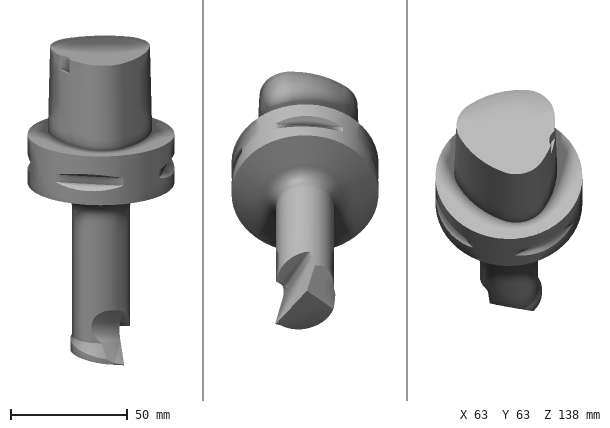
import cadquery as cq
import math

TOTAL_HEIGHT = 138.0
TAPER_HEIGHT = 38.0
FLANGE_HEIGHT = 22.0
FLANGE_TOP = TOTAL_HEIGHT - TAPER_HEIGHT
FLANGE_BOTTOM = FLANGE_TOP - FLANGE_HEIGHT

FLANGE_RADIUS = 63.0 / 2
BAR_RADIUS = 25.0 / 2
NECK_FILLET = 7.0
NECK_CONE_ANGLE = math.radians(15)

LOBE_MEAN_RADIUS = 22.0
LOBE_ECCENTRICITY = 1.7
TAPER_SLOPE = 1 / 40
LOBE_COUNT = 3
LOBE_PITCH = 360 / LOBE_COUNT
LOBE_HALF_ANGLE = 29.5
FIRST_LOBE_ANGLE = 90.0

NOTCH_RADIUS = 6.0
NOTCH_FLOOR_Y = -17.9
NOTCH_HEIGHT = 6.4

GROOVE_COUNT = 4
GROOVE_FLOOR = 27.85
GROOVE_FLOOR_WIDTH = 3.4
GROOVE_MID_Z = 88.0
GROOVE_FLANK_ANGLE = math.radians(30)
GROOVE_DEPTH = FLANGE_RADIUS - GROOVE_FLOOR
GROOVE_OPENING_WIDTH = GROOVE_FLOOR_WIDTH + 2 * GROOVE_DEPTH * math.tan(GROOVE_FLANK_ANGLE)

HEAD_RADIUS = 14.5
HEAD_CENTRE = (1.4, 0.65)
HEAD_TOP = 9.7
HEAD_FLARE_SLOPE = 0.46

RELIEF_TOP = (-BAR_RADIUS, 14.0)
RELIEF_BOTTOM = (-4.6, 1.5)

END_HEIGHT = 1.5
END_SLOPE_X = -0.078
END_SLOPE_Y = -0.104

TIP = (17.2, 0.2, -0.04)
RAKE_SLOPE_X = -0.162
RAKE_SLOPE_Z = 0.11
RAKE_PLANE = cq.Plane(
    origin=TIP,
    xDir=(1, RAKE_SLOPE_X, 0),
    normal=(RAKE_SLOPE_X, -1, RAKE_SLOPE_Z),
)

POCKET_CEILING_LEFT = (-30.0, 21.9)
POCKET_CEILING_END = (-10.2, 14.8)
POCKET_GULLET_END = (-5.5, 23.0)
POCKET_FILLET = 1.8
GULLET_START = (-5.9, 9.4)
GULLET_MIDDLE = (-8.0, 16.3)
GULLET_END = (-4.0, 24.1)
FLANK_SETBACK = 0.7

INSERT_INSCRIBED_DIAMETER = 9.525
INSERT_NOSE_ANGLE = 55.0
INSERT_EDGE = INSERT_INSCRIBED_DIAMETER / math.sin(math.radians(INSERT_NOSE_ANGLE))
INSERT_THICKNESS = 3.97
INSERT_RELIEF = 7.0
INSERT_NOSE_RADIUS = 0.4
INSERT_END_ANGLE = 177.0

CLEAR = 40.0


def lobed_point(mean_radius, angle):
    """Point of the three-lobed outline, with the first lobe toward +Y."""
    t = math.radians(angle - FIRST_LOBE_ANGLE)
    along = mean_radius * math.cos(t) + LOBE_ECCENTRICITY * math.cos(2 * t)
    across = mean_radius * math.sin(t) - LOBE_ECCENTRICITY * math.sin(2 * t)
    return (-across, along)


def lobed_outline(workplane, mean_radius):
    """Closed outline of three lobe arcs joined by three side arcs."""
    outline = workplane.moveTo(*lobed_point(mean_radius, FIRST_LOBE_ANGLE - LOBE_HALF_ANGLE))
    for i in range(LOBE_COUNT):
        lobe = FIRST_LOBE_ANGLE + i * LOBE_PITCH
        outline = outline.threePointArc(
            lobed_point(mean_radius, lobe),
            lobed_point(mean_radius, lobe + LOBE_HALF_ANGLE),
        )
        outline = outline.threePointArc(
            lobed_point(mean_radius, lobe + LOBE_PITCH / 2),
            lobed_point(mean_radius, lobe + LOBE_PITCH - LOBE_HALF_ANGLE),
        )
    return outline.close()


def make_taper():
    base = lobed_outline(cq.Workplane("XY").workplane(offset=FLANGE_TOP), LOBE_MEAN_RADIUS)
    top_radius = LOBE_MEAN_RADIUS - TAPER_HEIGHT * TAPER_SLOPE
    taper = lobed_outline(base.workplane(offset=TAPER_HEIGHT), top_radius).loft(ruled=True)
    notch = (
        cq.Workplane("XY")
        .workplane(offset=TOTAL_HEIGHT - NOTCH_HEIGHT)
        .center(0, NOTCH_FLOOR_Y - NOTCH_RADIUS)
        .circle(NOTCH_RADIUS)
        .extrude(NOTCH_HEIGHT)
    )
    return taper.cut(notch)


def make_flange_and_bar():
    """Flange, shallow cone, neck fillet and bar as one revolved profile."""
    fillet_centre_r = BAR_RADIUS + NECK_FILLET
    cone_end_r = fillet_centre_r - NECK_FILLET * math.sin(NECK_CONE_ANGLE)
    cone_end_z = FLANGE_BOTTOM - (FLANGE_RADIUS - cone_end_r) * math.tan(NECK_CONE_ANGLE)
    fillet_centre_z = cone_end_z - NECK_FILLET * math.cos(NECK_CONE_ANGLE)
    mid_angle = (math.pi / 2 - NECK_CONE_ANGLE) / 2
    fillet_middle = (
        fillet_centre_r - NECK_FILLET * math.cos(mid_angle),
        fillet_centre_z + NECK_FILLET * math.sin(mid_angle),
    )
    return (
        cq.Workplane("XZ")
        .lineTo(BAR_RADIUS, 0)
        .lineTo(BAR_RADIUS, fillet_centre_z)
        .threePointArc(fillet_middle, (cone_end_r, cone_end_z))
        .lineTo(FLANGE_RADIUS, FLANGE_BOTTOM)
        .lineTo(FLANGE_RADIUS, FLANGE_TOP)
        .lineTo(0, FLANGE_TOP)
        .close()
        .revolve(360, (0, 0), (0, 1))
    )


def make_groove(angle):
    """Straight trapezoidal groove, facing outward at the given angle."""
    return (
        cq.Workplane("XZ")
        .moveTo(GROOVE_FLOOR, GROOVE_MID_Z - GROOVE_FLOOR_WIDTH / 2)
        .lineTo(FLANGE_RADIUS, GROOVE_MID_Z - GROOVE_OPENING_WIDTH / 2)
        .lineTo(FLANGE_RADIUS, GROOVE_MID_Z + GROOVE_OPENING_WIDTH / 2)
        .lineTo(GROOVE_FLOOR, GROOVE_MID_Z + GROOVE_FLOOR_WIDTH / 2)
        .close()
        .extrude(FLANGE_RADIUS, both=True)
        .rotate((0, 0, 0), (0, 0, 1), angle)
    )


def make_head():
    """Eccentric disc whose top is trimmed by a cone flaring down from the bar."""
    disc = cq.Workplane("XY").center(*HEAD_CENTRE).circle(HEAD_RADIUS).extrude(HEAD_TOP)
    flare = (
        cq.Workplane("XZ")
        .lineTo(BAR_RADIUS + HEAD_TOP * HEAD_FLARE_SLOPE, 0)
        .lineTo(BAR_RADIUS, HEAD_TOP)
        .lineTo(0, HEAD_TOP)
        .close()
        .revolve(360, (0, 0), (0, 1))
    )
    return disc.intersect(flare)


def make_relief_cut():
    """Prism removing the -X lower corner, overshooting the flat by its own length at each end."""
    run = RELIEF_BOTTOM[0] - RELIEF_TOP[0]
    drop = RELIEF_TOP[1] - RELIEF_BOTTOM[1]
    return (
        cq.Workplane("XZ")
        .moveTo(RELIEF_TOP[0] - run, RELIEF_TOP[1] + drop)
        .lineTo(RELIEF_BOTTOM[0] + run, RELIEF_BOTTOM[1] - drop)
        .lineTo(RELIEF_TOP[0] - run, RELIEF_BOTTOM[1] - drop)
        .close()
        .extrude(CLEAR, both=True)
    )


def make_end_cut():
    """Block below the sloping end face."""
    end_plane = cq.Plane(
        origin=(0, 0, END_HEIGHT),
        xDir=(1, 0, END_SLOPE_X),
        normal=(END_SLOPE_X, END_SLOPE_Y, -1),
    )
    return cq.Workplane(end_plane).rect(2 * CLEAR, 2 * CLEAR).extrude(CLEAR)


def make_chip_pocket():
    """Space on the +Y side of the rake plane, under the sloping ceiling."""
    ceiling_middle = (
        (POCKET_CEILING_LEFT[0] + POCKET_CEILING_END[0]) / 2,
        (POCKET_CEILING_LEFT[1] + POCKET_CEILING_END[1]) / 2,
    )
    ceiling_root = RAKE_PLANE.toWorldCoords(ceiling_middle).toTuple()
    return (
        cq.Workplane(RAKE_PLANE)
        .moveTo(*POCKET_CEILING_LEFT)
        .lineTo(*POCKET_CEILING_END)
        .lineTo(*POCKET_GULLET_END)
        .lineTo(CLEAR, POCKET_GULLET_END[1])
        .lineTo(CLEAR, -CLEAR)
        .lineTo(POCKET_CEILING_LEFT[0], -CLEAR)
        .close()
        .extrude(-CLEAR)
        .edges(cq.NearestToPointSelector(ceiling_root))
        .fillet(POCKET_FILLET)
    )


def make_gullet():
    """Through cut along the +X side: a straight flank below a round gullet."""
    flank_foot = (-FLANK_SETBACK, 0)
    slope = (flank_foot[0] - GULLET_START[0]) / GULLET_START[1]
    return (
        cq.Workplane(RAKE_PLANE)
        .moveTo(*GULLET_START)
        .threePointArc(GULLET_MIDDLE, GULLET_END)
        .lineTo(CLEAR, GULLET_END[1])
        .lineTo(CLEAR, -CLEAR)
        .lineTo(flank_foot[0] + slope * CLEAR, -CLEAR)
        .close()
        .extrude(CLEAR, both=True)
    )


def make_insert():
    """Rhombic insert with relieved sides and a rounded nose; its top face lies in the rake plane."""
    end_edge = math.radians(INSERT_END_ANGLE)
    side_edge = math.radians(INSERT_END_ANGLE - INSERT_NOSE_ANGLE)
    end_corner = (INSERT_EDGE * math.cos(end_edge), INSERT_EDGE * math.sin(end_edge))
    side_corner = (INSERT_EDGE * math.cos(side_edge), INSERT_EDGE * math.sin(side_edge))
    far_corner = (end_corner[0] + side_corner[0], end_corner[1] + side_corner[1])
    return (
        cq.Workplane(RAKE_PLANE)
        .polyline([(0, 0), side_corner, far_corner, end_corner])
        .close()
        .extrude(INSERT_THICKNESS, taper=INSERT_RELIEF)
        .edges(cq.NearestToPointSelector(TIP))
        .fillet(INSERT_NOSE_RADIUS)
    )


insert = make_insert()

holder = make_flange_and_bar().union(make_taper()).union(make_head())
for i in range(GROOVE_COUNT):
    holder = holder.cut(make_groove((i + 0.5) * 360 / GROOVE_COUNT))
holder = holder.cut(make_relief_cut()).cut(make_end_cut())
holder = holder.cut(make_chip_pocket()).cut(make_gullet())
holder = holder.cut(insert)

result = cq.Compound.makeCompound([holder.solids().val(), insert.val()])